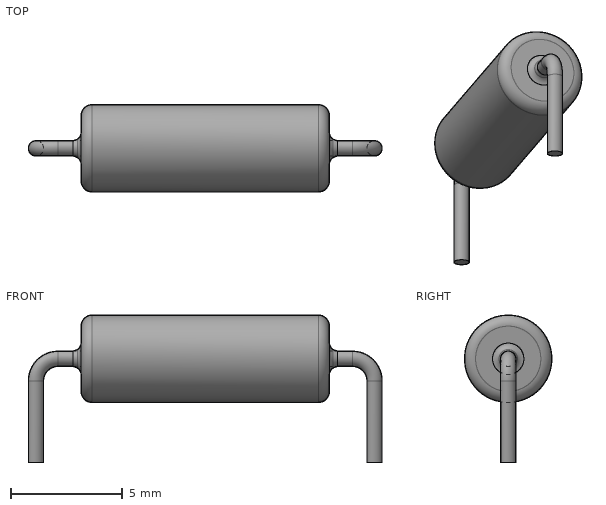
import cadquery as cq


body_diameter = 3.94
body_length = 11.18
body_edge_radius = 0.5

lead_diameter = 0.69
lead_pitch = 15.24
bend_radius = 1.0
leg_drop = 2.7

collar_length = 0.36
collar_base_radius = 0.705
flare_length = 0.17
flare_start_radius = 0.415
flare_arc_radius = 0.36

lead_radius = lead_diameter / 2
axis_height = body_diameter / 2
end_face_x = body_length / 2
leg_x = lead_pitch / 2
end_sides = (-1, 1)


def make_body():
    """Plain cylinder along X with rounded rims."""
    cylinder = (
        cq.Workplane("YZ")
        .workplane(offset=-end_face_x)
        .center(0, axis_height)
        .circle(body_diameter / 2)
        .extrude(body_length)
    )
    return cylinder.edges("%CIRCLE").fillet(body_edge_radius)


def make_lead(side):
    """Round wire from the end face outward, then bent down into a leg."""
    path = (
        cq.Workplane("XZ")
        .moveTo(side * end_face_x, axis_height)
        .lineTo(side * (leg_x - bend_radius), axis_height)
        .tangentArcPoint((side * leg_x, axis_height - bend_radius), relative=False)
        .lineTo(side * leg_x, -leg_drop)
    )
    start = cq.Workplane("YZ").workplane(offset=side * end_face_x).center(0, axis_height)
    return start.circle(lead_radius).sweep(path)


def make_collar(side):
    """Ring around the lead: a slim cone at the tip, then a concave flare onto the end face."""
    profile = (
        cq.Workplane("XZ", origin=(end_face_x, 0, axis_height))
        .moveTo(0, lead_radius)
        .lineTo(collar_length, lead_radius)
        .lineTo(flare_length, flare_start_radius)
        .radiusArc((0, collar_base_radius), flare_arc_radius)
        .close()
    )
    collar = profile.revolve(360, (0, 0), (1, 0))
    if side < 0:
        return collar.mirror("YZ")
    return collar


body = make_body()
leads = [make_lead(side) for side in end_sides]
collars = [make_collar(side) for side in end_sides]

result = cq.Compound.makeCompound(
    [
        body.val(),
        *[lead.val() for lead in leads],
        *[collar.val() for collar in collars],
    ]
)